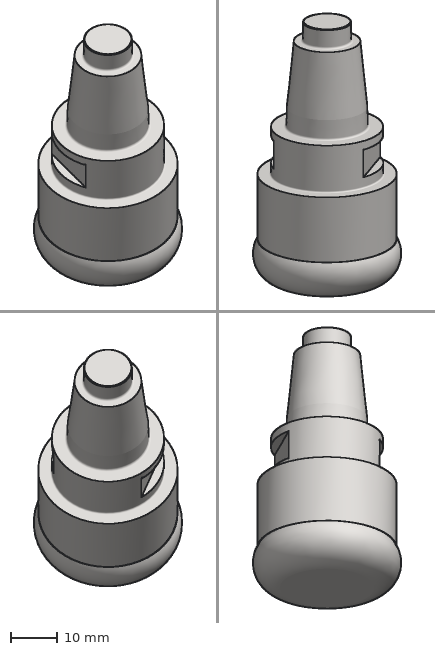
import cadquery as cq
import math

overall_height = 59.0
tip_base_z = 54.5
taper_base_z = 39.55
neck_base_z = 34.9
collar_base_z = 24.15
foot_top_z = 9.2

tip_radius = 10.4 / 2
taper_top_radius = 14.4 / 2
neck_top_radius = 17.4 / 2
neck_radius = 17.6 / 2
collar_radius = 24.2 / 2
barrel_radius = 30.05 / 2
foot_radius = 32.0 / 2

tip_chamfer = 0.2
root_fillet = 0.5
collar_fillet = 0.35

flat_offset = 10.05
flat_bottom_z = 26.6
flat_top_z = 32.9

rim_radius = 5.85


def root_arc(profile, radius, floor_z, size):
    """Continue a profile from a wall's lower end through a concave fillet onto the floor."""
    diagonal = size * (1 - math.sqrt(0.5))
    return profile.threePointArc(
        (radius + diagonal, floor_z + diagonal), (radius + size, floor_z)
    )


def make_stud():
    """Stepped, tapered stud with a slightly conical neck and two opposite wrench flats."""
    profile = (
        cq.Workplane("XZ")
        .moveTo(0, foot_top_z)
        .lineTo(0, overall_height)
        .lineTo(tip_radius - tip_chamfer, overall_height)
        .lineTo(tip_radius, overall_height - tip_chamfer)
    )
    profile = profile.lineTo(tip_radius, tip_base_z + root_fillet)
    profile = root_arc(profile, tip_radius, tip_base_z, root_fillet)
    profile = profile.lineTo(taper_top_radius, tip_base_z).lineTo(neck_top_radius, taper_base_z)
    profile = profile.lineTo(neck_radius, neck_base_z + root_fillet)
    profile = root_arc(profile, neck_radius, neck_base_z, root_fillet)
    profile = profile.lineTo(collar_radius, neck_base_z)
    profile = profile.lineTo(collar_radius, collar_base_z + collar_fillet)
    profile = root_arc(profile, collar_radius, collar_base_z, collar_fillet)
    profile = profile.lineTo(barrel_radius, collar_base_z).lineTo(barrel_radius, foot_top_z).close()
    stud = profile.revolve(360, (0, 0, 0), (0, 1, 0))

    flat_depth = collar_radius - flat_offset
    for side in (-1, 1):
        cutter = (
            cq.Workplane("XY", origin=(0, side * (flat_offset + flat_depth / 2), flat_bottom_z))
            .box(2 * collar_radius, flat_depth, flat_top_z - flat_bottom_z, centered=(True, True, False))
        )
        stud = stud.cut(cutter)
    return stud


def make_foot():
    """Flat-bottomed foot with a bulging round rim that meets the barrel's lower edge."""
    rim_center = foot_radius - rim_radius
    top_radius = rim_center + math.sqrt(rim_radius**2 - (foot_top_z - rim_radius) ** 2)
    return (
        cq.Workplane("XZ")
        .lineTo(rim_center, 0)
        .threePointArc((foot_radius, rim_radius), (top_radius, foot_top_z))
        .lineTo(0, foot_top_z)
        .close()
        .revolve(360, (0, 0, 0), (0, 1, 0))
    )


stud = make_stud()
foot = make_foot()
result = cq.Compound.makeCompound([stud.val(), foot.val()])